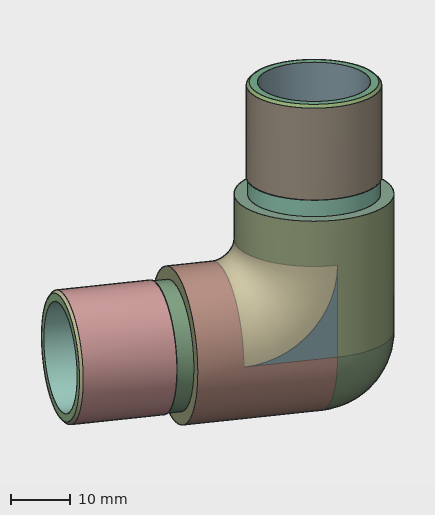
import cadquery as cq
import math

body_diameter = 26.9
spigot_diameter = 22.8
relief_diameter = 22.4
bore_diameter = 19.0
overall_length = 58.0
insertion_length = 20.0
relief_length = 3.0
inner_bend_radius = 3.0
spigot_chamfer = 0.5

body_radius = body_diameter / 2
bore_radius = bore_diameter / 2
arm_length = overall_length - body_radius
collar_end = arm_length - insertion_length
bend_radius = body_radius + inner_bend_radius


def to_second_arm(shape):
    """Turn a shape on the +Z arm half a turn about the mitre line, onto the -Y arm."""
    return shape.rotate((0, 0, 0), (0, -1, 1), 180)


def on_both_arms(shape):
    return shape.union(to_second_arm(shape))


def half_disc(radius, side):
    """Half disc in the XY plane with its diameter on the X axis; side is +1 or -1 in Y."""
    return (
        cq.Workplane("XY")
        .moveTo(-radius, 0)
        .threePointArc((0, side * radius), (radius, 0))
        .close()
    )


def corner_quarter_sphere(radius):
    """Quarter sphere that rounds the outer corner (+Y, -Z)."""
    return half_disc(radius, 1).revolve(90, (0, 0, 0), (-1, 0, 0))


def make_bend():
    """Outer half cylinders up to the collar ends, rounded corner, flat-sided web and toroidal throat."""
    outer_backs = on_both_arms(half_disc(body_radius, 1).extrude(collar_end))

    arc_middle = bend_radius * (1 - math.cos(math.radians(45)))
    web = (
        cq.Workplane("YZ")
        .moveTo(0, 0)
        .lineTo(0, bend_radius)
        .threePointArc((-arc_middle, arc_middle), (-bend_radius, 0))
        .close()
        .extrude(body_radius, both=True)
    )

    throat = (
        half_disc(body_radius, -1)
        .revolve(90, (0, -bend_radius, 0), (-1, -bend_radius, 0))
        .translate((0, 0, bend_radius))
    )

    return outer_backs.union(corner_quarter_sphere(body_radius)).union(web).union(throat)


def make_arm_end():
    """Inner half of the collar, relief and chamfered spigot of the +Z arm."""
    relief_end = collar_end + relief_length
    inner_collar = (
        half_disc(body_radius, -1)
        .extrude(collar_end - bend_radius)
        .translate((0, 0, bend_radius))
    )
    relief = (
        cq.Workplane("XY", origin=(0, 0, collar_end))
        .circle(relief_diameter / 2)
        .extrude(relief_length)
    )
    spigot = (
        cq.Workplane("XY", origin=(0, 0, relief_end))
        .circle(spigot_diameter / 2)
        .extrude(arm_length - relief_end)
        .faces(">Z")
        .chamfer(spigot_chamfer)
    )
    return inner_collar.union(relief).union(spigot)


def make_bore():
    """Two meeting round passages with a spherical outer corner."""
    passage = cq.Workplane("XY").circle(bore_radius).extrude(arm_length)
    return on_both_arms(passage).union(corner_quarter_sphere(bore_radius))


result = make_bend().union(on_both_arms(make_arm_end())).cut(make_bore())